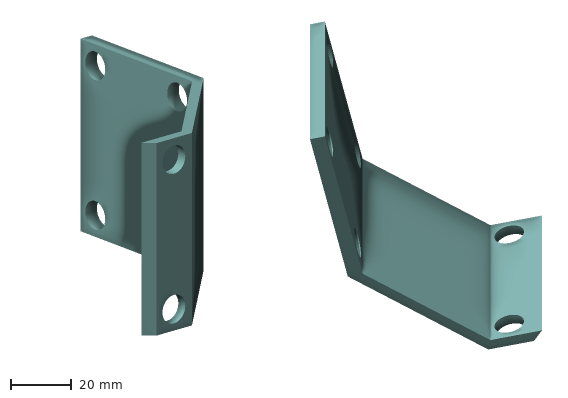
import cadquery as cq

length = 95.1
depth = 57.8
height = 67.5

plate_length = 56.3
plate_thickness = 5.0
flange_thickness = 3.5

hole_diameter = 10.0
hole_edge_distance = 7.5
flange_hole_to_tip = 11.1

outer_web_run = length - plate_length
flange_inner_x = length - flange_thickness
inner_web_run = flange_inner_x - plate_length
bevel = flange_thickness

profile = [
    (0, 0),
    (plate_length, 0),
    (length, -outer_web_run),
    (length, -depth + bevel),
    (flange_inner_x, -depth),
    (flange_inner_x, -plate_thickness - inner_web_run),
    (plate_length, -plate_thickness),
    (0, -plate_thickness),
]
bracket = cq.Workplane("XY").polyline(profile).close().extrude(height)

hole_levels = [hole_edge_distance, height - hole_edge_distance]


def hole_cutters(plane, origin, positions, cut_length):
    """Cylinders that start on a plane and follow its normal."""
    return (
        cq.Workplane(plane, origin=origin)
        .pushPoints(positions)
        .circle(hole_diameter / 2)
        .extrude(cut_length)
    )


plate_hole_columns = [hole_edge_distance, plate_length - hole_edge_distance]
plate_holes = hole_cutters(
    "XZ",
    (0, 0, 0),
    [(x, z) for x in plate_hole_columns for z in hole_levels],
    plate_thickness,
)

flange_hole_y = -depth + flange_hole_to_tip
flange_holes = hole_cutters(
    "YZ",
    (flange_inner_x, 0, 0),
    [(flange_hole_y, z) for z in hole_levels],
    flange_thickness,
)

result = bracket.cut(plate_holes).cut(flange_holes)